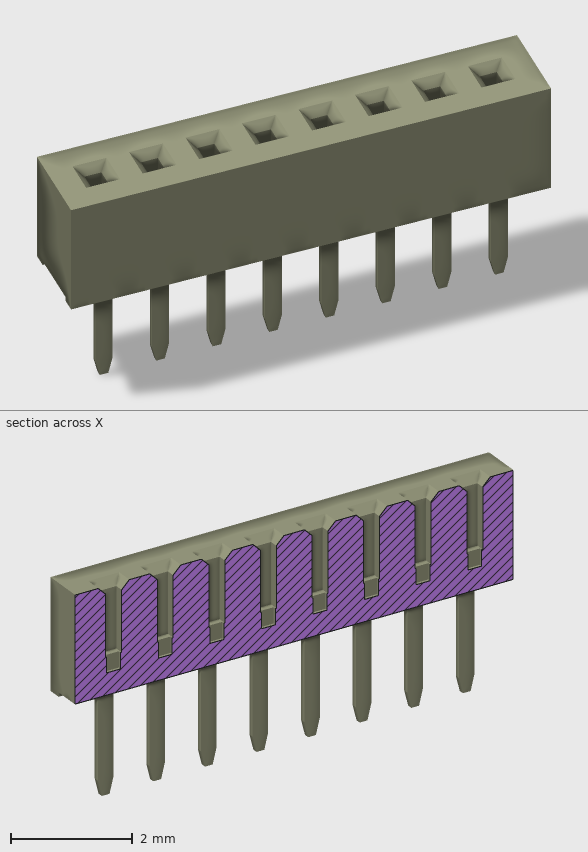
import cadquery as cq


contact_count = 8
pitch = 1.0

end_margin = 0.75
housing_width = 1.5
housing_length = (contact_count - 1) * pitch + 2 * end_margin
housing_height = 2.1

foot_width = 0.25
foot_height = 0.08
channel_width = housing_width - 2 * foot_width

funnel_mouth = 0.6
well_side = 0.3
funnel_depth = (funnel_mouth - well_side) / 2
well_bottom_z = 0.8
slot_width = 0.08
slot_length = 0.26
slot_depth = 0.3

overall_height = 4.0
pin_thickness = 0.1
pin_width = 0.3
pin_tip_width = 0.15
pin_taper_length = 0.3
pin_offset = 0.29
pin_tip_z = housing_height - overall_height
pin_embedment = 0.1
pin_root_z = foot_height + pin_embedment

contact_positions = [(i - (contact_count - 1) / 2) * pitch for i in range(contact_count)]


def make_housing():
    """Rectangular block with a full-length channel between two feet."""
    block = cq.Workplane("XY").box(
        housing_width, housing_length, housing_height, centered=(True, True, False)
    )
    channel = cq.Workplane("XY").box(
        channel_width, housing_length, foot_height, centered=(True, True, False)
    )
    return block.cut(channel)


def make_socket(y):
    """Cavity of one socket, to be cut from the housing."""
    funnel_bottom_z = housing_height - funnel_depth
    funnel = (
        cq.Workplane("XY", origin=(0, y, funnel_bottom_z))
        .rect(well_side, well_side)
        .workplane(offset=funnel_depth)
        .rect(funnel_mouth, funnel_mouth)
        .loft(ruled=True)
    )
    well = (
        cq.Workplane("XY", origin=(0, y, well_bottom_z))
        .rect(well_side, well_side)
        .extrude(funnel_bottom_z - well_bottom_z)
    )
    slot = (
        cq.Workplane("XY", origin=(0, y, well_bottom_z))
        .rect(slot_width, slot_length)
        .extrude(-slot_depth)
    )
    return funnel.union(well).union(slot)


def make_pin(y):
    """Flat pin whose two narrow edges taper towards the tip."""
    half_width = pin_width / 2
    half_tip = pin_tip_width / 2
    taper_start_z = pin_tip_z + pin_taper_length
    outline = [
        (-half_width, pin_root_z),
        (half_width, pin_root_z),
        (half_width, taper_start_z),
        (half_tip, pin_tip_z),
        (-half_tip, pin_tip_z),
        (-half_width, taper_start_z),
    ]
    return (
        cq.Workplane("YZ", origin=(pin_offset - pin_thickness / 2, y, 0))
        .polyline(outline)
        .close()
        .extrude(pin_thickness)
    )


result = make_housing()
for contact_y in contact_positions:
    result = result.cut(make_socket(contact_y))
    result = result.union(make_pin(contact_y))